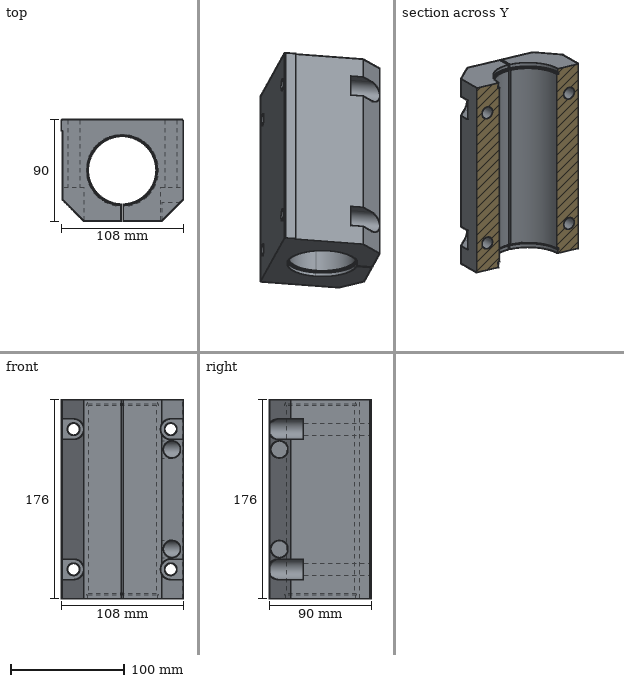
import cadquery as cq


width = 108.0
depth = 90.0
height = 176.0
half_width = width / 2
half_depth = depth / 2
front_chamfer = 19.0
back_chamfer = 1.0

strip_height = 1.2
strip_width = 10.2

bore_diameter = 60.0
counterbore_diameter = 62.1
counterbore_depth = 3.7
groove_diameter = 63.7
groove_width = 1.4
slit_width = 1.8

mount_spacing_x = 85.9
mount_spacing_z = 123.9
mount_diameter = 10.5
spotface_width = 18.1
spotface_depth = 30.0

clamp_spacing_z = 88.0
clamp_diameter = 15.1
clamp_x = 44.0


def make_block():
    """Prism with chamfered front corners and the reference strip on its -X side."""
    side_x = -half_width + strip_height
    chamfer_y = -half_depth + front_chamfer
    outline = [
        (side_x + front_chamfer, -half_depth),
        (half_width - front_chamfer, -half_depth),
        (half_width, chamfer_y),
        (half_width, half_depth - back_chamfer),
        (half_width - back_chamfer, half_depth),
        (-half_width + back_chamfer, half_depth),
        (-half_width, half_depth - back_chamfer),
        (-half_width, half_depth - strip_width),
        (side_x, half_depth - strip_width),
        (side_x, chamfer_y),
    ]
    return cq.Workplane("XY").polyline(outline).close().extrude(height / 2, both=True)


def make_bore():
    """Through bore, its end counterbores with ring grooves, and the slit that opens it towards -Y."""
    bore = cq.Workplane("XY").circle(bore_diameter / 2).extrude(height / 2, both=True)
    for end in (-1, 1):
        face = cq.Workplane("XY", origin=(0, 0, end * height / 2))
        counterbore = face.circle(counterbore_diameter / 2).extrude(-end * counterbore_depth)
        groove = (
            face.workplane(offset=-end * counterbore_depth)
            .circle(groove_diameter / 2)
            .extrude(-end * groove_width)
        )
        bore = bore.union(counterbore).union(groove)
    slit = cq.Workplane("XY").box(slit_width, half_depth, height).translate((0, -half_depth / 2, 0))
    return bore.union(slit)


def make_mount_hole(side, z):
    """Through hole along Y with a round-ended slot that runs out of the given X side."""
    x = side * mount_spacing_x / 2
    slot_run = half_width - mount_spacing_x / 2
    front = cq.Workplane("XZ", origin=(x, -half_depth, z))
    hole = front.circle(mount_diameter / 2).extrude(-depth)
    round_end = front.circle(spotface_width / 2).extrude(-spotface_depth)
    run_out = front.center(side * slot_run / 2, 0).rect(slot_run, spotface_width).extrude(-spotface_depth)
    return hole.union(round_end).union(run_out)


def make_clamp_hole(z):
    """Blind hole along X, entering through the +X front chamfer and ending at its inner edge."""
    floor_x = half_width - front_chamfer
    axis_y = -half_depth + clamp_x - floor_x
    return (
        cq.Workplane("YZ", origin=(floor_x, axis_y, z))
        .circle(clamp_diameter / 2)
        .extrude(front_chamfer)
    )


result = make_block().cut(make_bore())
for end in (-1, 1):
    for side in (-1, 1):
        result = result.cut(make_mount_hole(side, end * mount_spacing_z / 2))
    result = result.cut(make_clamp_hole(end * clamp_spacing_z / 2))